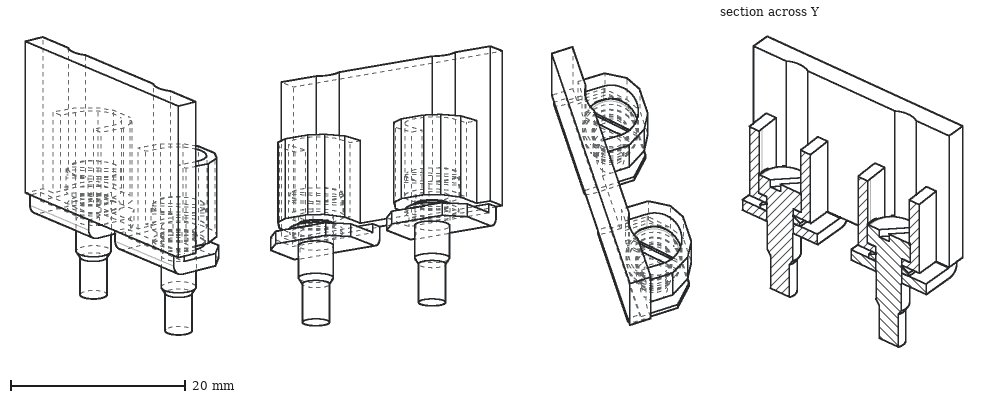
import cadquery as cq


TERMINAL_PITCH = 16.0
TERMINAL_CENTERS = (-TERMINAL_PITCH / 2, TERMINAL_PITCH / 2)
SCREW_AXIS_Y = 4.95

PLATE_WIDTH = 28.8
PLATE_THICKNESS = 2.52
PLATE_HEIGHT = 18.4

TOWER_HALF_WIDTH = 4.5
TOWER_SIDE_END_Y = 5.77
TOWER_FACET_HALF_WIDTH = 3.22
TOWER_FACET_Y = 8.02
TOWER_BACK_HALF_WIDTH = 1.53
TOWER_BACK_Y = 9.0
TOWER_HEIGHT_AT_PLATE = 9.83
TOWER_HEIGHT_AT_BACK = 9.47

WELL_RADIUS = 3.07
WELL_AXIS_Y = 5.15
WELL_FLOOR_Z = 1.0

BRACKET_HALF_WIDTH = 5.53
BRACKET_BACK_Y = 8.1
BRACKET_CHAMFER = 2.07
BRACKET_THICKNESS = 1.5
BRACKET_DROP = 2.52
BRACKET_BEND_RADIUS = 1.25
BRACKET_TOP_Z = BRACKET_THICKNESS - BRACKET_DROP

WASHER_RADIUS = 3.05
WASHER_TOP_RADIUS = 2.13
WASHER_RIM_HEIGHT = 0.42
WASHER_HEIGHT = 0.9

HEAD_RADIUS = 3.2
HEAD_HEIGHT = 2.58
HEAD_EDGE_RADIUS = 0.3
SLOT_WIDTH = 1.0
SLOT_DEPTH = 1.0
SLOT_ANGLE = 45
SHANK_RADIUS = 2.0
SHANK_END_Z = -6.37
TIP_RADIUS = 1.55
TIP_START_Z = -7.1
SCREW_END_Z = -11.65
HEAD_TOP_Z = WELL_FLOOR_Z + HEAD_HEIGHT


def cylinder(x, y, radius, bottom_z, top_z):
    """Vertical cylinder between two heights."""
    return cq.Workplane("XY", origin=(x, y, bottom_z)).circle(radius).extrude(top_z - bottom_z)


def make_tower(x):
    """Faceted tower on the back of the plate, with its top sloping down to the rear."""
    outline = [
        (-TOWER_HALF_WIDTH, PLATE_THICKNESS),
        (-TOWER_HALF_WIDTH, TOWER_SIDE_END_Y),
        (-TOWER_FACET_HALF_WIDTH, TOWER_FACET_Y),
        (-TOWER_BACK_HALF_WIDTH, TOWER_BACK_Y),
        (TOWER_BACK_HALF_WIDTH, TOWER_BACK_Y),
        (TOWER_FACET_HALF_WIDTH, TOWER_FACET_Y),
        (TOWER_HALF_WIDTH, TOWER_SIDE_END_Y),
        (TOWER_HALF_WIDTH, PLATE_THICKNESS),
    ]
    prism = cq.Workplane("XY", origin=(x, 0, 0)).polyline(outline).close().extrude(TOWER_HEIGHT_AT_PLATE)
    side_profile = [
        (PLATE_THICKNESS, 0),
        (TOWER_BACK_Y, 0),
        (TOWER_BACK_Y, TOWER_HEIGHT_AT_BACK),
        (PLATE_THICKNESS, TOWER_HEIGHT_AT_PLATE),
    ]
    slope = (
        cq.Workplane("YZ", origin=(x, 0, 0))
        .polyline(side_profile).close()
        .extrude(TOWER_HALF_WIDTH, both=True)
    )
    return prism.intersect(slope)


def make_well(x):
    """Round well with straight sides up to the plate; its front grooves the plate up to the top edge."""
    round_part = cylinder(x, WELL_AXIS_Y, WELL_RADIUS, WELL_FLOOR_Z, PLATE_HEIGHT)
    straight_part = (
        cq.Workplane("XY", origin=(x - WELL_RADIUS, PLATE_THICKNESS, WELL_FLOOR_Z))
        .rect(2 * WELL_RADIUS, WELL_AXIS_Y - PLATE_THICKNESS, centered=False)
        .extrude(PLATE_HEIGHT - WELL_FLOOR_Z)
    )
    return round_part.union(straight_part)


def make_housing():
    """Plate and two towers as one body, with wells, head seats and shank holes."""
    housing = (
        cq.Workplane("XY", origin=(-PLATE_WIDTH / 2, 0, 0))
        .rect(PLATE_WIDTH, PLATE_THICKNESS, centered=False)
        .extrude(PLATE_HEIGHT)
    )
    for x in TERMINAL_CENTERS:
        head_seat = cylinder(x, SCREW_AXIS_Y, HEAD_RADIUS, WELL_FLOOR_Z, HEAD_TOP_Z)
        shank_hole = cylinder(x, SCREW_AXIS_Y, SHANK_RADIUS, 0, WELL_FLOOR_Z)
        housing = housing.union(make_tower(x)).cut(make_well(x)).cut(head_seat).cut(shank_hole)
    return housing


def make_bracket(x):
    """L-shaped bracket hanging from the plate, bent outside corner, chamfered rear corners."""
    side_profile = [
        (0, 0),
        (BRACKET_THICKNESS, 0),
        (BRACKET_THICKNESS, BRACKET_TOP_Z),
        (BRACKET_BACK_Y, BRACKET_TOP_Z),
        (BRACKET_BACK_Y, -BRACKET_DROP),
        (0, -BRACKET_DROP),
    ]
    return (
        cq.Workplane("YZ", origin=(x, 0, 0))
        .polyline(side_profile).close()
        .extrude(BRACKET_HALF_WIDTH, both=True)
        .edges("|X and <Y and <Z").fillet(BRACKET_BEND_RADIUS)
        .edges("|Z and >Y").chamfer(BRACKET_CHAMFER)
        .cut(cylinder(x, SCREW_AXIS_Y, SHANK_RADIUS, -BRACKET_DROP, BRACKET_TOP_Z))
    )


def make_washer(x):
    """Ring with a short straight rim and a conical top, resting on the bracket."""
    half_section = [
        (SHANK_RADIUS, 0),
        (WASHER_RADIUS, 0),
        (WASHER_RADIUS, WASHER_RIM_HEIGHT),
        (WASHER_TOP_RADIUS, WASHER_HEIGHT),
        (SHANK_RADIUS, WASHER_HEIGHT),
    ]
    return (
        cq.Workplane("XZ")
        .polyline(half_section).close()
        .revolve(360, (0, 0, 0), (0, 1, 0))
        .translate((x, SCREW_AXIS_Y, BRACKET_TOP_Z))
    )


def make_screw(x):
    """Screw with a slotted round head, a thick shank and a tapered step to a thinner tip."""
    half_section = [
        (0, SCREW_END_Z),
        (TIP_RADIUS, SCREW_END_Z),
        (TIP_RADIUS, TIP_START_Z),
        (SHANK_RADIUS, SHANK_END_Z),
        (SHANK_RADIUS, WELL_FLOOR_Z),
        (HEAD_RADIUS, WELL_FLOOR_Z),
        (HEAD_RADIUS, HEAD_TOP_Z),
        (0, HEAD_TOP_Z),
    ]
    slot = (
        cq.Workplane("XY", origin=(0, 0, HEAD_TOP_Z - SLOT_DEPTH))
        .rect(2 * HEAD_RADIUS, SLOT_WIDTH)
        .extrude(SLOT_DEPTH)
        .rotate((0, 0, 0), (0, 0, 1), SLOT_ANGLE)
    )
    return (
        cq.Workplane("XZ")
        .polyline(half_section).close()
        .revolve(360, (0, 0, 0), (0, 1, 0))
        .edges(">Z").fillet(HEAD_EDGE_RADIUS)
        .cut(slot)
        .translate((x, SCREW_AXIS_Y, 0))
    )


housing = make_housing()
brackets = [make_bracket(x) for x in TERMINAL_CENTERS]
washers = [make_washer(x) for x in TERMINAL_CENTERS]
screws = [make_screw(x) for x in TERMINAL_CENTERS]

result = cq.Compound.makeCompound([
    housing.val(),
    *[bracket.val() for bracket in brackets],
    *[washer.val() for washer in washers],
    *[screw.val() for screw in screws],
])